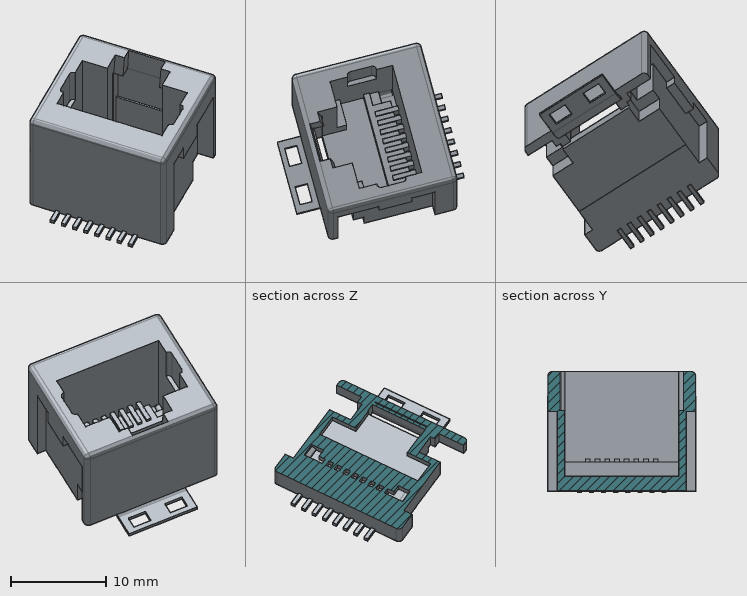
import cadquery as cq
import math


WIDTH = 15.55
DEPTH = 14.0
TOP = 12.7
FRONT_BOTTOM = 0.1
MIDDLE_BOTTOM = 0.16
REAR_BOTTOM = 0.89
FRONT_PORTION_END = 5.0
REAR_PORTION_START = 11.83
EDGE_RADIUS = 0.5

PLUG_WIDTH = 11.96
PLUG_FRONT = 3.45
PLUG_BACK = 10.24
NECK_WIDTH = 6.26
NECK_FLOOR_BACK = REAR_PORTION_START
NECK_TOP_BACK = 12.36
NECK_LOW_BACK = 11.96
LATCH_WIDTH = 4.16
LATCH_TOP_BACK = 13.5
LATCH_LOW_BACK = 13.2
LATCH_SLOPE_HEIGHT = 2.4
REAR_WALL_INNER = LATCH_LOW_BACK
REAR_NECK_WIDTH = 6.4
FLOOR = 1.7

GROOVE_SPAN = 12.92
GROOVE_FRONT = 5.21
GROOVE_BACK = 8.33
GROOVE_FLOOR = 8.6
GROOVE_RADIUS = 0.4

RECESS_DEPTH = 1.0
RECESS_FRONT = 2.5
RECESS_BACK = 13.02
RECESS_TOP = 10.06
TONGUE_FRONT = 5.02
TONGUE_BACK = 8.57
TONGUE_BOTTOM = 8.48
POCKET_FRONT = 11.1
POCKET_HALF_SPAN = 4.75
NOTCH_FRONT = 9.92
NOTCH_BACK = 12.22
NOTCH_TOP = 2.87
NOTCH_HALF_SPAN = 4.2

SHELF_FRONT = 9.19
SHELF_TOP = 3.7
COMB_FRONT = 4.04
COMB_BACK = 6.61
COMB_TOP = 3.2
COMB_WIDTH = 9.18
CORNER_BLOCK_FRONT = 4.96
CORNER_BLOCK_BACK = 5.95
CORNER_BLOCK_TOP = 2.8
CORNER_ROUND_WIDTH = 0.54
CONVEX_ROUND_RADIUS = 0.65
CORNER_ROUND_FRONT = 3.58
RAMP_WIDTH = 8.0
RAMP_RISE = 0.2

CONTACT_COUNT = 8
CONTACT_PITCH = 1.02
CONTACT_WIDTH = 0.5
CONTACT_TOP = 3.5
TAIL_PITCH = 1.27
TAIL_WIDTH = 0.45
TAIL_LENGTH = 1.5
TAIL_ROOT = 1.0

SHEET = 0.4
TAB_WIDTH = 8.0
TAB_LENGTH = 2.5
TAB_BEND_OUTER = 1.25
TAB_TOP = 5.95
TAB_STEP_HEIGHT = 1.0
TAB_TIP_THICKNESS = 0.2
TAB_HOLE_X = 2.14
TAB_HOLE_WIDTH = 2.0
TAB_HOLE_FRONT = 14.6
TAB_HOLE_LENGTH = 1.32

OVERCUT = 1.0
SIDES = (-1, 1)


def block(x0, x1, y0, y1, z0, z1):
    """Axis-aligned box between two corners given in any X order."""
    left = min(x0, x1)
    return cq.Workplane("XY").box(abs(x1 - x0), y1 - y0, z1 - z0, centered=False).translate((left, y0, z0))


def centred_block(width, y0, y1, z0, z1):
    return block(-width / 2, width / 2, y0, y1, z0, z1)


def side_profile(points, width):
    """Extrude a (Y, Z) outline symmetrically along X."""
    return cq.Workplane("YZ").polyline(points).close().extrude(width / 2, both=True)


def housing_block():
    body = centred_block(WIDTH, 0, DEPTH, FRONT_BOTTOM, TOP)
    body = body.edges("|Z").fillet(EDGE_RADIUS).faces(">Z").edges().fillet(EDGE_RADIUS)
    span = WIDTH + OVERCUT
    body = body.cut(centred_block(span, FRONT_PORTION_END, DEPTH + OVERCUT, 0, MIDDLE_BOTTOM))
    return body.cut(centred_block(span, REAR_PORTION_START, DEPTH + OVERCUT, 0, REAR_BOTTOM))


def plug_opening():
    """Stepped opening: wide plug area, neck and latch slot, open below behind the floor."""
    above = TOP + OVERCUT
    slope_bottom = TOP - LATCH_SLOPE_HEIGHT
    opening = centred_block(PLUG_WIDTH, PLUG_FRONT, PLUG_BACK, FLOOR, above)
    opening = opening.union(centred_block(NECK_WIDTH, PLUG_FRONT, NECK_FLOOR_BACK, FLOOR, above))
    opening = opening.union(centred_block(REAR_NECK_WIDTH, NECK_FLOOR_BACK, REAR_WALL_INNER, 0, slope_bottom))
    shoulders = side_profile(
        [(PLUG_BACK, slope_bottom), (NECK_LOW_BACK, slope_bottom), (NECK_TOP_BACK, TOP), (PLUG_BACK, TOP)],
        NECK_WIDTH,
    )
    latch = side_profile(
        [(PLUG_BACK, slope_bottom), (LATCH_LOW_BACK, slope_bottom), (LATCH_TOP_BACK, TOP), (PLUG_BACK, TOP)],
        LATCH_WIDTH,
    )
    grooves = centred_block(GROOVE_SPAN, GROOVE_FRONT, GROOVE_BACK, GROOVE_FLOOR, above)
    grooves = grooves.edges("|Z").fillet(GROOVE_RADIUS)
    return opening.union(shoulders).union(latch).union(grooves)


def side_recess(side):
    """Recess of one flank with its hanging tongue, rear pocket and lower notch."""
    outer = side * (WIDTH / 2 + OVERCUT)
    inner = side * (WIDTH / 2 - RECESS_DEPTH)
    recess = block(outer, inner, RECESS_FRONT, RECESS_BACK, 0, RECESS_TOP)
    recess = recess.cut(block(outer, inner, TONGUE_FRONT, TONGUE_BACK, TONGUE_BOTTOM, RECESS_TOP))
    recess = recess.union(block(outer, side * POCKET_HALF_SPAN, POCKET_FRONT, RECESS_BACK, 0, RECESS_TOP))
    return recess.union(block(outer, side * NOTCH_HALF_SPAN, NOTCH_FRONT, NOTCH_BACK, 0, NOTCH_TOP))


def floor_details():
    """Rear shelves, contact comb with its front ramp, corner blocks and corner rounds."""
    comb = centred_block(COMB_WIDTH, COMB_FRONT, COMB_BACK, FLOOR, COMB_TOP)
    comb = comb.union(centred_block(PLUG_WIDTH, CORNER_BLOCK_BACK, COMB_BACK, FLOOR, COMB_TOP))
    ramp = side_profile(
        [(COMB_FRONT, FLOOR), (PLUG_FRONT, FLOOR), (PLUG_FRONT, FLOOR + RAMP_RISE)],
        RAMP_WIDTH,
    )
    details = comb.union(ramp)
    wall = PLUG_WIDTH / 2
    for side in SIDES:
        details = details.union(
            block(side * NECK_WIDTH / 2, side * wall, SHELF_FRONT, PLUG_BACK, FLOOR, SHELF_TOP)
        )
        details = details.union(
            block(side * COMB_WIDTH / 2, side * wall, CORNER_BLOCK_FRONT, CORNER_BLOCK_BACK,
                  FLOOR, CORNER_BLOCK_TOP)
        )
    return details.union(corner_rounds())


def corner_rounds():
    """Convex round along the -X wall and concave quarter round along the +X wall."""
    wall = PLUG_WIDTH / 2
    width = CORNER_ROUND_WIDTH
    sweep = math.asin(width / CONVEX_ROUND_RADIUS)
    rise = CONVEX_ROUND_RADIUS * (1 - math.cos(sweep))
    convex_x = CONVEX_ROUND_RADIUS * math.sin(sweep / 2)
    convex_drop = CONVEX_ROUND_RADIUS * (1 - math.cos(sweep / 2))
    length = CORNER_BLOCK_FRONT - CORNER_ROUND_FRONT
    mid = width * math.sqrt(0.5)
    start = cq.Workplane("XZ", origin=(0, CORNER_ROUND_FRONT, 0))
    convex = (
        start.moveTo(-wall, FLOOR).lineTo(-wall + width, FLOOR)
        .threePointArc((-wall + convex_x, FLOOR + rise - convex_drop), (-wall, FLOOR + rise))
        .close().extrude(-length)
    )
    concave = (
        start.moveTo(wall, FLOOR).lineTo(wall - width, FLOOR)
        .threePointArc((wall - width + mid, FLOOR + width - mid), (wall, FLOOR + width))
        .close().extrude(-length)
    )
    return convex.union(concave)


def row_positions(pitch):
    return [(i - (CONTACT_COUNT - 1) / 2) * pitch for i in range(CONTACT_COUNT)]


def contacts():
    """Contact strips on the comb and solder tails under the front wall."""
    strips = cq.Workplane("XY")
    for x in row_positions(CONTACT_PITCH):
        half = CONTACT_WIDTH / 2
        strips = strips.union(block(x - half, x + half, PLUG_FRONT, CORNER_BLOCK_BACK, FLOOR, CONTACT_TOP))
    for x in row_positions(TAIL_PITCH):
        half = TAIL_WIDTH / 2
        strips = strips.union(block(x - half, x + half, -TAIL_LENGTH, TAIL_ROOT, 0, SHEET))
    return strips


def hold_down_tab():
    """Bent sheet-metal tab: foot with two windows, rounded bend and upright leg with a thinned tip."""
    outer = TAB_BEND_OUTER
    inner = outer - SHEET
    diagonal = math.sqrt(0.5)
    end = DEPTH + TAB_LENGTH
    tip_back = DEPTH - outer + TAB_TIP_THICKNESS
    step = TAB_TOP - TAB_STEP_HEIGHT
    tab = (
        cq.Workplane("YZ")
        .moveTo(end, 0).lineTo(DEPTH, 0)
        .threePointArc((DEPTH - outer * diagonal, outer * (1 - diagonal)), (DEPTH - outer, outer))
        .lineTo(DEPTH - outer, TAB_TOP).lineTo(tip_back, TAB_TOP)
        .lineTo(tip_back, step).lineTo(DEPTH - inner, step).lineTo(DEPTH - inner, outer)
        .threePointArc((DEPTH - inner * diagonal, outer - inner * diagonal), (DEPTH, SHEET))
        .lineTo(end, SHEET).close()
        .extrude(TAB_WIDTH / 2, both=True)
    )
    for side in SIDES:
        centre = side * TAB_HOLE_X
        half = TAB_HOLE_WIDTH / 2
        hole_back = TAB_HOLE_FRONT + TAB_HOLE_LENGTH
        tab = tab.cut(block(centre - half, centre + half, TAB_HOLE_FRONT, hole_back, -OVERCUT, OVERCUT))
    return tab


part = housing_block().cut(plug_opening()).union(floor_details())
for flank in SIDES:
    part = part.cut(side_recess(flank))
result = part.union(contacts()).union(hold_down_tab())